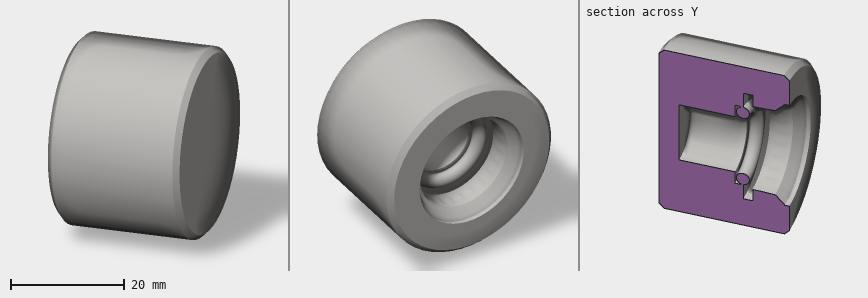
import cadquery as cq

length = 24.63
body_radius = 34.55 / 2
rim_chamfer = 1.0

mouth_radius = 21.83 / 2
mouth_depth = 0.9
bore_radius = 9.12
cone_end = mouth_depth + mouth_radius - bore_radius

bore_end = 6.98
bore_end_radius = 8.98

chamber_radius = 22.85 / 2
chamber_floor = 8.67

pocket_radius = 11.88 / 2
ring_outer_radius = 8.45
tube_radius = (ring_outer_radius - pocket_radius) / 2
ring_radius = pocket_radius + tube_radius
ring_depth = 8.8
grip = 0.05
seat_radius = ring_outer_radius - grip
seat_depth = 10.22

pocket_depth = 20.72


def make_body():
    return cq.Workplane("YZ").circle(body_radius).extrude(length).edges().chamfer(rim_chamfer)


def make_cavity():
    """Revolved half-profile of the mouth, bore, chamber, ring seat and pocket."""
    profile = [
        (0, 0),
        (0, mouth_radius),
        (mouth_depth, mouth_radius),
        (cone_end, bore_radius),
        (bore_end, bore_end_radius),
        (bore_end, chamber_radius),
        (chamber_floor, chamber_radius),
        (chamber_floor, seat_radius),
        (seat_depth, seat_radius),
        (seat_depth, pocket_radius),
        (pocket_depth, pocket_radius),
        (pocket_depth, 0),
    ]
    return cq.Workplane("XY").polyline(profile).close().revolve(360, (0, 0, 0), (1, 0, 0))


def make_ring():
    section = cq.Workplane("XY").center(ring_depth, ring_radius).circle(tube_radius)
    return section.revolve(360, (-ring_depth, -ring_radius, 0), (0.35 - ring_depth, -ring_radius, 0))


result = make_body().cut(make_cavity()).union(make_ring())